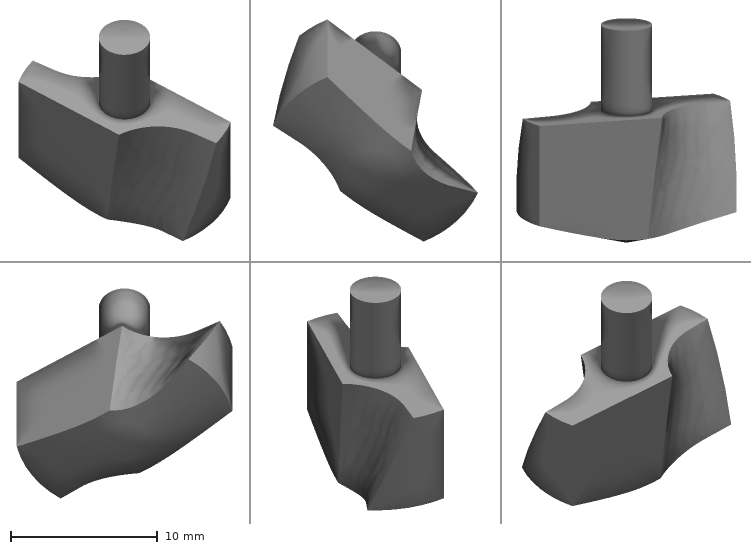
import cadquery as cq
import math

total_height = 15.3
shank_diameter = 3.5
shank_length = 5.98
drill_diameter = 15
blade_thickness = 5.68
point_slope = 17

lip_slope = 5
lip_start_x = 5.72
lip_start_y = 0.4
gullet_radius = 4.59
flute_reach = 10.71
side_twist = 24.5
flute_count = 2

drill_radius = drill_diameter / 2
shoulder_height = total_height - shank_length
point_height = drill_radius * math.tan(math.radians(point_slope))
side_height = shoulder_height - point_height
full_twist = side_twist * shoulder_height / side_height


def make_blade():
    """Flat-sided slice of a pointed cylinder."""
    pointed_cylinder = (
        cq.Workplane("XZ")
        .polyline([
            (0, 0),
            (drill_radius, point_height),
            (drill_radius, shoulder_height),
            (0, shoulder_height),
        ])
        .close()
        .revolve(360, (0, 0), (0, 1))
    )
    slab = cq.Workplane("XY").box(
        drill_diameter, blade_thickness, shoulder_height, centered=(True, True, False)
    )
    return pointed_cylinder.intersect(slab)


def make_flute():
    """Helical cutter whose section reaches the shoulder in its unturned position."""
    slope = math.radians(lip_slope)
    center_x = lip_start_x + gullet_radius * math.sin(slope)
    center_y = lip_start_y - gullet_radius * math.cos(slope)
    lip_end_y = lip_start_y + (flute_reach - lip_start_x) * math.tan(slope)

    middle_angle = (math.radians(90 + lip_slope) + math.pi) / 2
    gullet_middle = (
        center_x + gullet_radius * math.cos(middle_angle),
        center_y + gullet_radius * math.sin(middle_angle),
    )
    gullet_end = (center_x - gullet_radius, center_y)
    return (
        cq.Workplane("XY")
        .transformed(rotate=(0, 0, -full_twist))
        .moveTo(flute_reach, lip_end_y)
        .lineTo(lip_start_x, lip_start_y)
        .threePointArc(gullet_middle, gullet_end)
        .lineTo(flute_reach, center_y)
        .close()
        .twistExtrude(shoulder_height, full_twist)
    )


def make_shank():
    return (
        cq.Workplane("XY")
        .workplane(offset=shoulder_height)
        .circle(shank_diameter / 2)
        .extrude(shank_length)
    )


result = make_blade()
flute = make_flute()
for index in range(flute_count):
    turn = index * 360 / flute_count
    result = result.cut(flute.rotate((0, 0, 0), (0, 0, 1), turn))
result = result.union(make_shank())